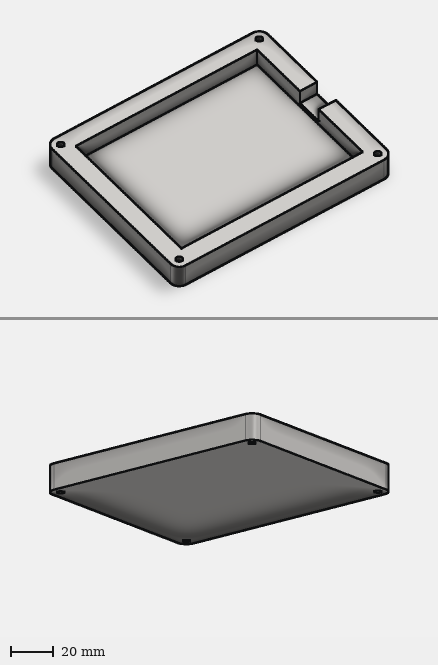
import cadquery as cq

width = 103.0
length = 125.4
height = 13.0
corner_radius = 5.0

wall = 10.0
floor_thickness = 3.0

notch_width = 14.7
notch_offset_x = -0.5
notch_depth = 8.0

hole_diameter = 3.4
hole_inset = 5.0


def make_body():
    body = cq.Workplane("XY").box(width, length, height, centered=(True, True, False))
    return body.edges("|Z").fillet(corner_radius)


def make_cavity():
    cavity_size = (width - 2 * wall, length - 2 * wall, height - floor_thickness)
    cavity = cq.Workplane("XY").box(*cavity_size, centered=(True, True, False))
    return cavity.translate((0, 0, floor_thickness))


def make_notch():
    notch = cq.Workplane("XY").box(notch_width, wall, notch_depth, centered=(True, False, False))
    return notch.translate((notch_offset_x, length / 2 - wall, height - notch_depth))


def make_screw_holes():
    spacing_x = width - 2 * hole_inset
    spacing_y = length - 2 * hole_inset
    holes = cq.Workplane("XY").rarray(spacing_x, spacing_y, 2, 2)
    return holes.circle(hole_diameter / 2).extrude(height)


result = make_body().cut(make_cavity()).cut(make_notch()).cut(make_screw_holes())